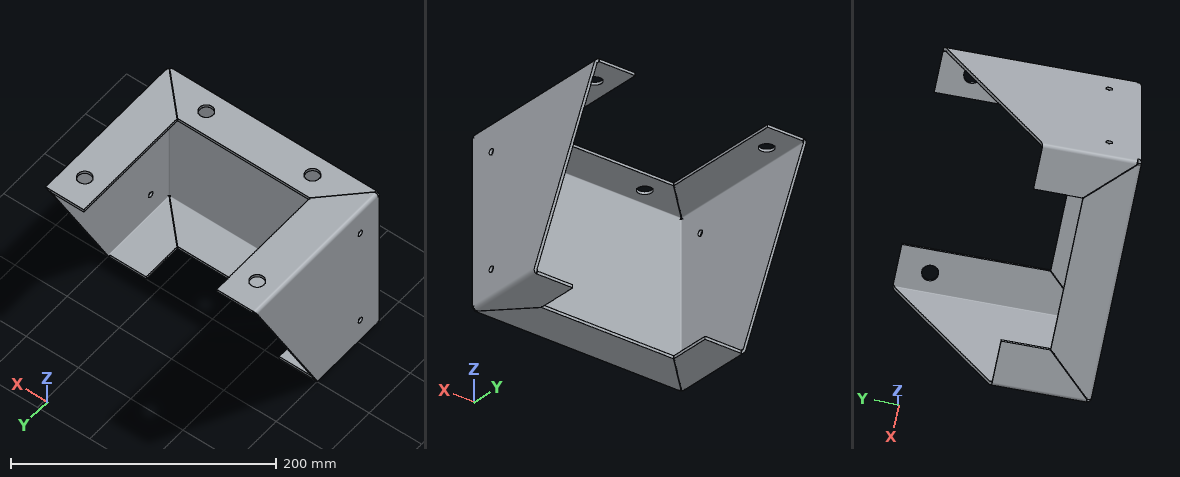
import cadquery as cq

width = 203.2
depth = 152.5
height = 152.5
bottom_depth = depth / 2
flange_width = depth / 4

sheet = 2.6
bend_radius = 3.5
inner_bend_radius = bend_radius - sheet
miter_gap = 0.6

mount_diameter = 12.5
mount_inset = flange_width / 2
front_mount_x = width / 4
rear_mount_setback = depth / 6
rivet_diameter = 5.0
rivet_inset = depth / 6


def mirrored(body):
    """Return a body joined with its mirror image about the middle of the width."""
    return body.union(body.mirror("YZ", (width / 2, 0, 0)))


def bend_section(plane):
    """Draw a quarter-ring bend whose outer faces lie on the two plane axes."""
    diagonal = 0.5**0.5
    outer_mid = bend_radius * (1 - diagonal)
    inner_mid = bend_radius - inner_bend_radius * diagonal
    return (
        cq.Workplane(plane)
        .moveTo(0, bend_radius)
        .threePointArc((outer_mid, outer_mid), (bend_radius, 0))
        .lineTo(bend_radius, sheet)
        .threePointArc((inner_mid, inner_mid), (sheet, bend_radius))
        .close()
    )


def make_walls():
    """Build the front wall, the side walls and the upright bends between them."""
    wall_height = height - 2 * bend_radius
    front = cq.Workplane("XY").box(width - 2 * bend_radius, sheet, wall_height, centered=False)
    front = front.translate((bend_radius, 0, bend_radius))
    side = cq.Workplane("XY").box(sheet, depth - bend_radius, wall_height, centered=False)
    side = side.translate((0, bend_radius, bend_radius))
    corner = bend_section("XY").extrude(wall_height).translate((0, 0, bend_radius))
    return front.union(mirrored(side.union(corner)))


def make_edge_bends():
    """Build the bends that join the walls to the bottom flanges."""
    front_plane = cq.Plane(origin=(bend_radius, 0, 0), xDir=(0, 1, 0), normal=(1, 0, 0))
    front = bend_section(front_plane).extrude(width - 2 * bend_radius)
    side_plane = cq.Plane(origin=(0, depth, 0), xDir=(1, 0, 0), normal=(0, -1, 0))
    side = bend_section(side_plane).extrude(depth - bend_radius)
    return front.union(mirrored(side))


def make_flanges(side_length):
    """Build the bottom flanges: one at the front and two at the sides, mitred at 45 degrees."""
    edge_offset = miter_gap / 2
    front = (
        cq.Workplane("XY")
        .polyline(
            [
                (bend_radius + edge_offset, bend_radius),
                (width - bend_radius - edge_offset, bend_radius),
                (width - flange_width - edge_offset, flange_width),
                (flange_width + edge_offset, flange_width),
            ]
        )
        .close()
        .extrude(sheet)
    )
    side = (
        cq.Workplane("XY")
        .polyline(
            [
                (bend_radius, bend_radius + edge_offset),
                (flange_width, flange_width + edge_offset),
                (flange_width, side_length),
                (bend_radius, side_length),
            ]
        )
        .close()
        .extrude(sheet)
    )
    return front.union(mirrored(side))


def make_slope_cutter():
    """Build the wedge behind the sloped rear edges of the side walls."""
    return (
        cq.Workplane("YZ")
        .polyline([(bottom_depth, 0), (depth, height), (depth, 0)])
        .close()
        .extrude(width)
    )


def to_top(body):
    """Mirror a bottom-edge body to the top edge."""
    return body.mirror("XY", (0, 0, height / 2))


def drill_top_flanges(body):
    """Cut the mounting holes through the top flanges only."""
    points = []
    for x, y in [(front_mount_x, mount_inset), (mount_inset, depth - rear_mount_setback)]:
        points += [(x, y), (width - x, y)]
    drill = (
        cq.Workplane("XY", origin=(0, 0, height - sheet))
        .pushPoints(points)
        .circle(mount_diameter / 2)
        .extrude(sheet)
    )
    return body.cut(drill)


def drill_side_walls(body):
    """Cut the small holes through both side walls."""
    drill = (
        cq.Workplane("YZ")
        .pushPoints([(rivet_inset, rivet_inset), (rivet_inset, height - rivet_inset)])
        .circle(rivet_diameter / 2)
        .extrude(width)
    )
    return body.cut(drill)


edge_bends = make_edge_bends()
shell = make_walls().union(edge_bends).union(to_top(edge_bends)).cut(make_slope_cutter())
shell = shell.union(make_flanges(bottom_depth)).union(to_top(make_flanges(depth)))
result = drill_side_walls(drill_top_flanges(shell))